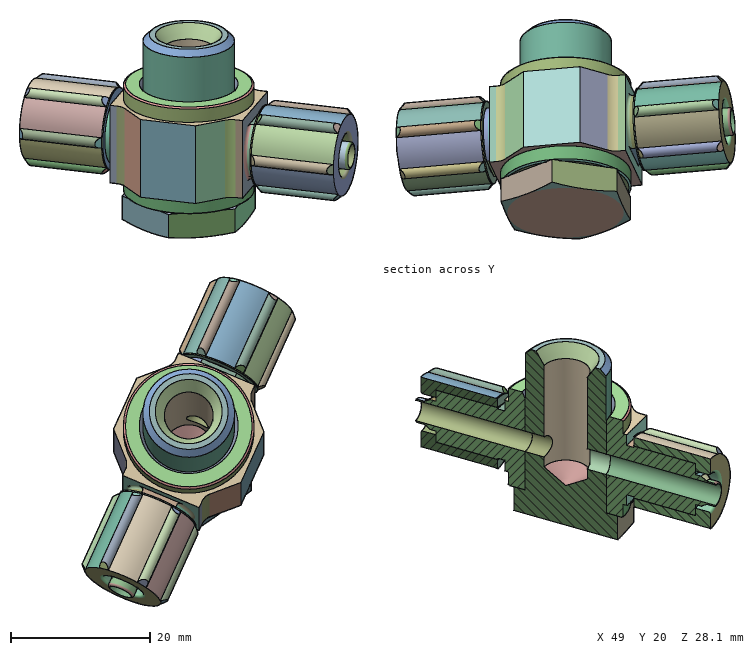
import cadquery as cq
import math


OVERALL_LENGTH = 49.0
OVERALL_HEIGHT = 28.1

BODY_WIDTH = 20.0
OCTAGON_SIDES = 8
OCTAGON_TURN = 180 / OCTAGON_SIDES
ARM_WIDTH = 12.0
ARM_FILLET = 2.0
COLLAR_DIAMETER = 18.8
COLLAR_FACE_DIAMETER = 18.2
COLLAR_CHAMFER_HEIGHT = 0.2
COLLAR_HEIGHT = 2.25
BORE_MOUTH_DIAMETER = 14.2
BORE_MOUTH_DEPTH = 1.0

NECK_DIAMETER = 10.0
NECK_FLAT_WIDTH = 8.45
NECK_FILLET = 0.4
SPIGOT_DIAMETER = 8.9
PASSAGE_DIAMETER = 3.4
BARB_DIAMETER = 4.0
BARB_LENGTH = 1.45
FLARE_DIAMETER = 5.15
FLARE_LENGTH = 0.9
SPIGOT_DEPTH = 2.45

NUT_DIAMETER = 11.85
NUT_RIM_DIAMETER = 11.95
NUT_RIM_LENGTH = 0.2
NUT_LENGTH = 12.6
NUT_INNER_X = 11.05
NUT_MOUTH_DIAMETER = 7.0
NUT_HOLE_DIAMETER = 6.2
RIB_COUNT = 6
RIB_WIDTH = 1.55
RIB_OUTER_DIAMETER = 13.48

BOLT_DIAMETER = 13.2
BOLT_END_DIAMETER = 11.3
BOLT_END_CHAMFER_HEIGHT = 0.9
BOLT_TOP_Z = 15.85
HEX_WIDTH = 17.0
HEX_SIDES = 6
HEX_TURN = 180 / HEX_SIDES
HEX_FACE_DIAMETER = 16.75
HEX_CHAMFER_ANGLE = 15.0
BOLT_BORE_DIAMETER = 7.0
COUNTERSINK_DIAMETER = 9.6
COUNTERSINK_DEPTH = 2.05
DRILL_POINT_ANGLE = 118.0

BODY_HALF = BODY_WIDTH / 2
ARM_HALF = ARM_WIDTH / 2
COLLAR_END_Z = ARM_HALF + COLLAR_HEIGHT
NUT_OUTER_X = NUT_INNER_X + NUT_LENGTH
SPIGOT_END_X = NUT_OUTER_X - SPIGOT_DEPTH
TIP_X = OVERALL_LENGTH / 2
TIP_ROUNDING = (BARB_DIAMETER - PASSAGE_DIAMETER) / 2
HEX_BOTTOM_Z = BOLT_TOP_Z - OVERALL_HEIGHT
BOLT_BORE_BOTTOM_Z = -PASSAGE_DIAMETER


def turned_on_z(points):
    """Solid of revolution about Z from (radius, z) points."""
    return cq.Workplane("XZ").polyline(points).close().revolve(360, (0, 0), (0, 1))


def x_cylinder(diameter, start_x, end_x):
    return cq.Workplane("YZ", origin=(start_x, 0, 0)).circle(diameter / 2).extrude(end_x - start_x)


def mirrored_pair(right_side):
    """The +X solid and its half-turn copy on the -X side."""
    return [right_side, right_side.rotate((0, 0, 0), (0, 0, 1), 180)]


def make_block():
    """Octagonal block with two square arms along X."""
    octagon_circle = BODY_WIDTH / math.cos(math.radians(OCTAGON_TURN))
    octagon = (
        cq.Workplane("XY", origin=(0, 0, -ARM_HALF))
        .transformed(rotate=(0, 0, OCTAGON_TURN))
        .polygon(OCTAGON_SIDES, octagon_circle)
        .extrude(ARM_WIDTH)
    )
    arms = cq.Workplane("XY").box(BODY_WIDTH, ARM_WIDTH, ARM_WIDTH)
    block = octagon.union(arms)
    corner_x = BODY_HALF * math.sqrt(2) - ARM_HALF
    for x in (-corner_x, corner_x):
        for y in (-ARM_HALF, ARM_HALF):
            block = block.edges(cq.selectors.NearestToPointSelector((x, y, 0))).fillet(ARM_FILLET)
    return block


def make_collars():
    """Round collars above and below the block, chamfered at both ends."""
    radius = COLLAR_DIAMETER / 2
    face_radius = COLLAR_FACE_DIAMETER / 2
    edge_z = COLLAR_END_Z - COLLAR_CHAMFER_HEIGHT
    return turned_on_z([
        (0, -COLLAR_END_Z),
        (face_radius, -COLLAR_END_Z),
        (radius, -edge_z),
        (radius, edge_z),
        (face_radius, COLLAR_END_Z),
        (0, COLLAR_END_Z),
    ])


def make_outlet():
    """Flatted neck, spigot inside the nut and tapered hose barb on the +X side."""
    neck_radius = NECK_DIAMETER / 2
    fillet_x = BODY_HALF + NECK_FILLET
    neck = (
        cq.Workplane("XY")
        .moveTo(0, 0)
        .lineTo(0, neck_radius + NECK_FILLET)
        .lineTo(BODY_HALF, neck_radius + NECK_FILLET)
        .radiusArc((fillet_x, neck_radius), -NECK_FILLET)
        .lineTo(NUT_INNER_X, neck_radius)
        .lineTo(NUT_INNER_X, 0)
        .close()
        .revolve(360, (0, 0), (1, 0))
        .intersect(cq.Workplane("XY").box(2 * NUT_INNER_X, BODY_WIDTH, NECK_FLAT_WIDTH))
    )
    spigot = x_cylinder(SPIGOT_DIAMETER, NUT_INNER_X, SPIGOT_END_X)
    flare_x = TIP_X - BARB_LENGTH
    barb = (
        cq.Workplane("XY")
        .moveTo(SPIGOT_END_X, 0)
        .lineTo(SPIGOT_END_X, FLARE_DIAMETER / 2)
        .lineTo(flare_x - FLARE_LENGTH, FLARE_DIAMETER / 2)
        .lineTo(flare_x, BARB_DIAMETER / 2)
        .lineTo(TIP_X - TIP_ROUNDING, BARB_DIAMETER / 2)
        .radiusArc((TIP_X, PASSAGE_DIAMETER / 2), TIP_ROUNDING)
        .lineTo(TIP_X, 0)
        .close()
        .revolve(360, (0, 0), (1, 0))
    )
    return neck.union(spigot).union(barb)


def make_housing():
    housing = make_block().union(make_collars())
    for outlet in mirrored_pair(make_outlet()):
        housing = housing.union(outlet)
    bolt_bore = turned_on_z([
        (0, -COLLAR_END_Z),
        (BOLT_DIAMETER / 2, -COLLAR_END_Z),
        (BOLT_DIAMETER / 2, COLLAR_END_Z - BORE_MOUTH_DEPTH),
        (BORE_MOUTH_DIAMETER / 2, COLLAR_END_Z),
        (0, COLLAR_END_Z),
    ])
    return housing.cut(bolt_bore).cut(x_cylinder(PASSAGE_DIAMETER, -TIP_X, TIP_X))


def make_ribs():
    """Straight ribs along the nut with round crests, bevelled at 45 degrees at both ends."""
    start_x = NUT_INNER_X + NUT_RIM_LENGTH
    length = NUT_OUTER_X - start_x
    crest_centre = (RIB_OUTER_DIAMETER - RIB_WIDTH) / 2
    ribs = cq.Workplane("YZ")
    for index in range(RIB_COUNT):
        crest = x_cylinder(RIB_WIDTH, start_x, NUT_OUTER_X).translate((0, crest_centre, 0))
        walls = (
            cq.Workplane("XY", origin=(start_x, 0, 0))
            .box(length, crest_centre, RIB_WIDTH, centered=(False, False, True))
        )
        rib = crest.union(walls).rotate((0, 0, 0), (1, 0, 0), index * 360 / RIB_COUNT)
        ribs = ribs.union(rib)
    bevel = (RIB_OUTER_DIAMETER - NUT_RIM_DIAMETER) / 2
    envelope = x_cylinder(RIB_OUTER_DIAMETER, start_x, NUT_OUTER_X).faces("<X or >X").chamfer(bevel)
    return ribs.intersect(envelope)


def make_nut():
    """Ribbed union nut on the +X side, with a rounded mouth around the barb."""
    barrel = x_cylinder(NUT_DIAMETER, NUT_INNER_X, NUT_OUTER_X)
    rim = x_cylinder(NUT_RIM_DIAMETER, NUT_INNER_X, NUT_INNER_X + NUT_RIM_LENGTH)
    hole_radius = NUT_HOLE_DIAMETER / 2
    mouth_radius = NUT_MOUTH_DIAMETER / 2
    mouth_fillet = mouth_radius - hole_radius
    hole = (
        cq.Workplane("XY")
        .moveTo(NUT_INNER_X, 0)
        .lineTo(NUT_INNER_X, SPIGOT_DIAMETER / 2)
        .lineTo(SPIGOT_END_X, SPIGOT_DIAMETER / 2)
        .lineTo(SPIGOT_END_X, hole_radius)
        .lineTo(NUT_OUTER_X - mouth_fillet, hole_radius)
        .radiusArc((NUT_OUTER_X, mouth_radius), -mouth_fillet)
        .lineTo(NUT_OUTER_X, 0)
        .close()
        .revolve(360, (0, 0), (1, 0))
    )
    return barrel.union(rim).union(make_ribs()).cut(hole)


def make_bolt():
    """Hollow bolt with a hexagon head below the housing."""
    hex_circle = HEX_WIDTH / math.cos(math.radians(HEX_TURN))
    chamfer_run = (hex_circle - HEX_FACE_DIAMETER) / 2
    head_limit = turned_on_z([
        (0, HEX_BOTTOM_Z),
        (HEX_FACE_DIAMETER / 2, HEX_BOTTOM_Z),
        (hex_circle / 2, HEX_BOTTOM_Z + chamfer_run * math.tan(math.radians(HEX_CHAMFER_ANGLE))),
        (hex_circle / 2, -COLLAR_END_Z),
        (0, -COLLAR_END_Z),
    ])
    head = (
        cq.Workplane("XY", origin=(0, 0, HEX_BOTTOM_Z))
        .transformed(rotate=(0, 0, HEX_TURN))
        .polygon(HEX_SIDES, hex_circle)
        .extrude(-COLLAR_END_Z - HEX_BOTTOM_Z)
        .intersect(head_limit)
    )
    shank = turned_on_z([
        (0, -COLLAR_END_Z),
        (BOLT_DIAMETER / 2, -COLLAR_END_Z),
        (BOLT_DIAMETER / 2, BOLT_TOP_Z - BOLT_END_CHAMFER_HEIGHT),
        (BOLT_END_DIAMETER / 2, BOLT_TOP_Z),
        (0, BOLT_TOP_Z),
    ])
    bore_radius = BOLT_BORE_DIAMETER / 2
    drill_point = bore_radius / math.tan(math.radians(DRILL_POINT_ANGLE / 2))
    bore = turned_on_z([
        (0, BOLT_BORE_BOTTOM_Z - drill_point),
        (bore_radius, BOLT_BORE_BOTTOM_Z),
        (bore_radius, BOLT_TOP_Z - COUNTERSINK_DEPTH),
        (COUNTERSINK_DIAMETER / 2, BOLT_TOP_Z),
        (0, BOLT_TOP_Z),
    ])
    cross_hole = x_cylinder(PASSAGE_DIAMETER, -BOLT_DIAMETER, BOLT_DIAMETER)
    return head.union(shank).cut(bore).cut(cross_hole)


housing = make_housing()
bolt = make_bolt()
nuts = mirrored_pair(make_nut())

result = cq.Compound.makeCompound([housing.val(), bolt.val(), *[nut.val() for nut in nuts]])